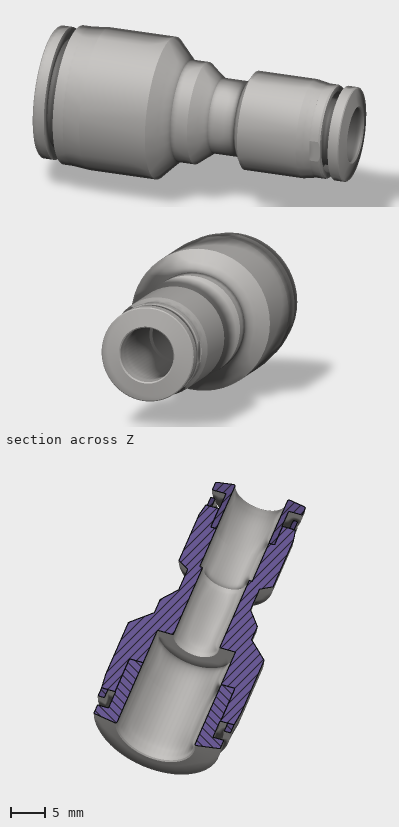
import cadquery as cq

LENGTH = 46.75
RING_CLEARANCE = 1.1

RIM_CHAMFER = 0.15
MOUTH_CHAMFER = 0.2

LARGE_FACE_RISE = 0.6
LARGE_FLANGE_RADIUS = 9.75
LARGE_FLANGE_LENGTH = 2.35
LARGE_SLEEVE_RADIUS = 8.1
LARGE_SLEEVE_LENGTH = 11.7
LARGE_TUBE_RADIUS = 6.0

SMALL_FACE_RISE = 0.45
SMALL_FLANGE_RADIUS = 6.95
SMALL_FLANGE_LENGTH = 2.05
SMALL_SLEEVE_RADIUS = 4.85
SMALL_SLEEVE_LENGTH = 8.4
SMALL_TUBE_RADIUS = 4.0

LARGE_RING_START = 3.85
LARGE_RING_RADIUS = 10.25

BODY_START = 5.4
LARGE_TAPER_END = 7.95
LARGE_BARREL_RADIUS = 21.0 / 2
LARGE_BARREL_END = 17.95
SHOULDER_START = 20.9
SHOULDER_RADIUS = 7.55
SHOULDER_END = 23.45

WAIST_START = 26.0
WAIST_RADIUS = 5.55
WAIST_END = 29.93
SMALL_BARREL_START = 31.0
SMALL_BARREL_RADIUS = 7.3
SMALL_TAPER_START = 39.95
BODY_END = 41.9
THROUGH_RADIUS = 3.55

SMALL_RING_RADIUS = 6.9
SMALL_RING_END = 43.45
SMALL_RING_CHAMFER_LENGTH = 0.3
SMALL_RING_CHAMFER_DEPTH = 0.15
ACROSS_FLATS = 13.45


def turned(profile):
    """Solid of revolution about X from (station, radius) points."""
    return cq.Workplane("XY").polyline(profile).close().revolve(360, (0, 0, 0), (1, 0, 0))


def make_collar(face_rise, flange_radius, flange_length, sleeve_radius, sleeve_length, tube_radius):
    """Release collar with its face at X = 0 and its sleeve running toward +X."""
    return turned([
        (MOUTH_CHAMFER, tube_radius),
        (0, tube_radius + MOUTH_CHAMFER),
        (face_rise, flange_radius - RIM_CHAMFER),
        (face_rise + RIM_CHAMFER, flange_radius),
        (flange_length, flange_radius),
        (flange_length, sleeve_radius),
        (sleeve_length, sleeve_radius),
        (sleeve_length, tube_radius),
    ])


def make_body():
    small_sleeve_seat = LENGTH - SMALL_SLEEVE_LENGTH
    return turned([
        (BODY_START, LARGE_RING_RADIUS),
        (LARGE_TAPER_END, LARGE_BARREL_RADIUS),
        (LARGE_BARREL_END, LARGE_BARREL_RADIUS),
        (SHOULDER_START, SHOULDER_RADIUS),
        (SHOULDER_END, SHOULDER_RADIUS),
        (WAIST_START, WAIST_RADIUS),
        (WAIST_END, WAIST_RADIUS),
        (SMALL_BARREL_START, SMALL_BARREL_RADIUS),
        (SMALL_TAPER_START, SMALL_BARREL_RADIUS),
        (BODY_END, SMALL_RING_RADIUS),
        (BODY_END, SMALL_SLEEVE_RADIUS),
        (small_sleeve_seat, SMALL_SLEEVE_RADIUS),
        (small_sleeve_seat, SMALL_TUBE_RADIUS),
        (SMALL_BARREL_START, SMALL_TUBE_RADIUS),
        (SMALL_BARREL_START, THROUGH_RADIUS),
        (LARGE_BARREL_END, THROUGH_RADIUS),
        (LARGE_BARREL_END, LARGE_TUBE_RADIUS),
        (LARGE_SLEEVE_LENGTH, LARGE_TUBE_RADIUS),
        (LARGE_SLEEVE_LENGTH, LARGE_SLEEVE_RADIUS),
        (BODY_START, LARGE_SLEEVE_RADIUS),
    ])


def make_large_ring():
    hole_radius = LARGE_SLEEVE_RADIUS + RING_CLEARANCE
    return turned([
        (LARGE_RING_START, hole_radius),
        (LARGE_RING_START, LARGE_RING_RADIUS),
        (BODY_START, LARGE_RING_RADIUS),
        (BODY_START, hole_radius),
    ])


def make_small_ring():
    hole_radius = SMALL_SLEEVE_RADIUS + RING_CLEARANCE
    ring = turned([
        (BODY_END, hole_radius),
        (BODY_END, SMALL_RING_RADIUS),
        (SMALL_RING_END - SMALL_RING_CHAMFER_LENGTH, SMALL_RING_RADIUS),
        (SMALL_RING_END, SMALL_RING_RADIUS - SMALL_RING_CHAMFER_DEPTH),
        (SMALL_RING_END, hole_radius),
    ])
    slab = cq.Workplane("XY").box(
        SMALL_RING_END - BODY_END, ACROSS_FLATS, 2 * SMALL_RING_RADIUS, centered=(False, True, True)
    )
    return ring.intersect(slab.translate((BODY_END, 0, 0)))


body = make_body()
large_ring = make_large_ring()
small_ring = make_small_ring()
large_collar = make_collar(
    LARGE_FACE_RISE,
    LARGE_FLANGE_RADIUS,
    LARGE_FLANGE_LENGTH,
    LARGE_SLEEVE_RADIUS,
    LARGE_SLEEVE_LENGTH,
    LARGE_TUBE_RADIUS,
)
small_collar = make_collar(
    SMALL_FACE_RISE,
    SMALL_FLANGE_RADIUS,
    SMALL_FLANGE_LENGTH,
    SMALL_SLEEVE_RADIUS,
    SMALL_SLEEVE_LENGTH,
    SMALL_TUBE_RADIUS,
).mirror("YZ").translate((LENGTH, 0, 0))

result = cq.Compound.makeCompound([
    body.val(),
    large_ring.val(),
    small_ring.val(),
    large_collar.val(),
    small_collar.val(),
])